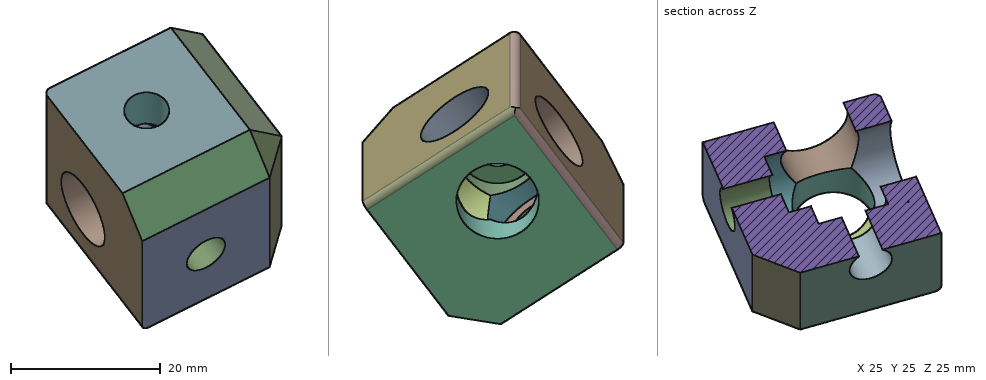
import cadquery as cq

SIZE = 25.0
CHAMFER = 5.0
ROUND = 1.0
HOLE_CENTRE = 10.0
HOLE_DIAMETER = 6.0
BORE_DIAMETER = 11.0
BORE_DEPTH = 18.0

AXES = ("X", "Y", "Z")


def make_cube():
    return cq.Workplane("XY").box(SIZE, SIZE, SIZE, centered=False)


def make_rounded_prism(axis):
    """Cube with only its edge along the given axis, at the origin, rounded."""
    lower_sides = [f"<{other}" for other in AXES if other != axis]
    return make_cube().edges(" and ".join(lower_sides)).fillet(ROUND)


def make_body():
    """Cube rounded on its origin edges and bevelled at its far corner."""
    body = make_cube()
    for axis in AXES:
        body = body.intersect(make_rounded_prism(axis))

    return body.edges("(>X and >Y) or (>X and >Z) or (>Y and >Z)").chamfer(CHAMFER)


def axial_cylinder(axis, diameter, length):
    """Cylinder along the given axis, starting on the face at the origin side."""
    start = [0 if name == axis else HOLE_CENTRE for name in AXES]
    direction = [1 if name == axis else 0 for name in AXES]
    return cq.Workplane(
        cq.Solid.makeCylinder(diameter / 2, length, cq.Vector(*start), cq.Vector(*direction))
    )


def cut_counterbored_hole(body, axis):
    """Through hole with a deep counterbore entering from the origin side."""
    body = body.cut(axial_cylinder(axis, HOLE_DIAMETER, SIZE))
    return body.cut(axial_cylinder(axis, BORE_DIAMETER, BORE_DEPTH))


result = make_body()
for hole_axis in AXES:
    result = cut_counterbored_hole(result, hole_axis)
result = result.solids()